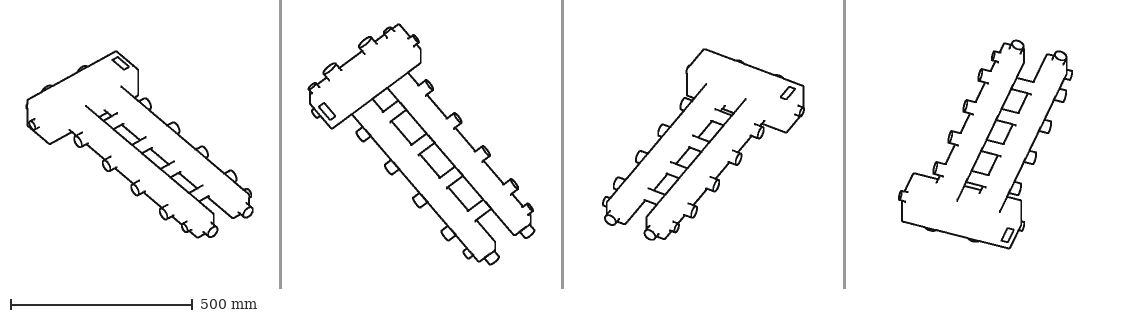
import cadquery as cq
import math

separator_width = 100.0
separator_length = 316.0
separator_height = 100.0

bar_size = 60.0
bar_length = 565.5
bar_pitch = 125.0

edge_radius = 5.0
weld_radius = 5.0

large_diameter = 43.5
medium_diameter = 34.0
small_diameter = 26.0
main_length = 30.0
small_length = 20.0
vent_length = 19.0

branch_count = 4
branch_pitch = 125.0
first_branch_offset = 80.0
drain_offset = 31.0
vent_offset = 132.0

plate_length = 51.0
plate_width = 19.0
plate_thickness = 0.35
plate_corner_radius = 3.0
plate_y = 134.0

half_width = separator_width / 2
half_length = separator_length / 2
half_bar = bar_size / 2
bar_axis_y = bar_pitch / 2
bar_outer_y = bar_axis_y + half_bar
bar_end_x = half_width + bar_length


def rounded_box(x_size, y_size, z_size):
    """Box centred on the origin with every edge rounded."""
    return cq.Workplane("XY").box(x_size, y_size, z_size).edges().fillet(edge_radius)


def weld_stub(origin, direction, diameter, length, weld_both_ends=False):
    """Round stub starting on a face, flaring into it with a concave weld fillet."""
    radius = diameter / 2
    flare = radius + weld_radius
    root = 3.5
    arc_offset = weld_radius * (1 - math.sqrt(0.5))
    profile = (
        cq.Workplane("XY")
        .moveTo(0, -root)
        .lineTo(flare, -root)
        .lineTo(flare, 0)
        .threePointArc((radius + arc_offset, arc_offset), (radius, weld_radius))
    )
    if weld_both_ends:
        profile = (
            profile.lineTo(radius, length - weld_radius)
            .threePointArc((radius + arc_offset, length - arc_offset), (flare, length))
            .lineTo(flare, length + root)
            .lineTo(0, length + root)
        )
    else:
        profile = profile.lineTo(radius, length).lineTo(0, length)
    stub = profile.close().revolve(360, (0, 0, 0), (0, 1, 0))
    turn = math.degrees(math.atan2(direction[1], direction[0])) - 90
    return stub.rotate((0, 0, 0), (0, 0, 1), turn).translate(origin)


def make_bar(y):
    """Bar with rounded edges; its near end is buried in the separator."""
    buried = half_width
    length = bar_length + buried
    return rounded_box(length, bar_size, bar_size).translate((bar_end_x - length / 2, y, 0))


def make_boxes():
    """Separator and both bars, with weld fillets where they meet."""
    boxes = rounded_box(separator_width, separator_length, separator_height)
    for y in (-bar_axis_y, bar_axis_y):
        boxes = boxes.union(make_bar(y))
    reach = 0.1
    joint = cq.selectors.BoxSelector(
        (half_width - reach, -half_length, -half_bar - reach),
        (half_width + reach, half_length, half_bar + reach),
        boundingbox=True,
    )
    return boxes.edges(joint).fillet(weld_radius)


def make_name_plate(side):
    """Thin raised plate on the top (side 1) or bottom (side -1) of the separator."""
    z = side * (separator_height + plate_thickness) / 2
    plate = cq.Workplane("XY").box(plate_length, plate_width, plate_thickness)
    plate = plate.edges("|Z and >X").fillet(plate_corner_radius)
    return plate.translate((0, plate_y, z))


result = make_boxes()

for side in (-1, 1):
    bar_y = side * bar_axis_y

    result = result.union(weld_stub((-half_width, bar_y, 0), (-1, 0), large_diameter, main_length))
    result = result.union(weld_stub((bar_end_x, bar_y, 0), (1, 0), medium_diameter, main_length))

    vent_origin = (-half_width, side * vent_offset, 0)
    result = result.union(weld_stub(vent_origin, (-1, 0), small_diameter, vent_length))
    end_origin = (0, side * half_length, 0)
    result = result.union(weld_stub(end_origin, (0, side), small_diameter, small_length))
    drain_origin = (bar_end_x - drain_offset, side * bar_outer_y, 0)
    result = result.union(weld_stub(drain_origin, (0, side), small_diameter, small_length))

    result = result.union(make_name_plate(side))

inner_gap = bar_pitch - bar_size
for index in range(branch_count):
    x = half_width + first_branch_offset + index * branch_pitch
    for side in (-1, 1):
        outer_origin = (x, side * bar_outer_y, 0)
        result = result.union(weld_stub(outer_origin, (0, side), medium_diameter, main_length))
    inner_origin = (x, -inner_gap / 2, 0)
    result = result.union(weld_stub(inner_origin, (0, 1), medium_diameter, inner_gap, weld_both_ends=True))